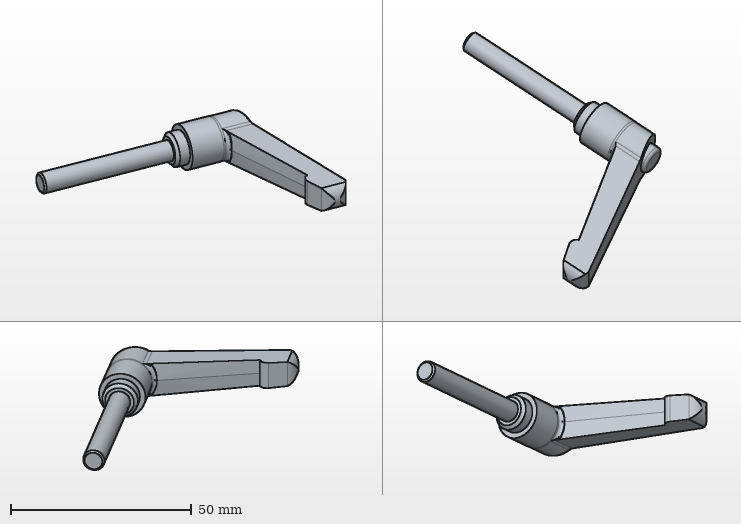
import cadquery as cq
import math

rod_radius = 3.0
rod_chamfer = 0.5
collar_radius = 5.0
collar_start = 40.0
collar_chamfer = 0.95
hub_radius = 6.6
hub_start = 44.05
seam_start = 53.75
seam_end = 54.4
seam_step = 0.1
hub_low_side = 60.4
button_radius = 4.1
button_top = 64.7
button_edge = 0.95
arm_reach = 45.0
arm_top = 74.0
arm_top_x = 41.45
tip_line_x = 42.55
tip_rise = 0.6
tip_low = 66.1
arm_half_root = 5.145
arm_half_end = 3.7
nub_start = (34.9, 65.5)
nub_mid = (36.0, 64.3)
nub_end = (37.6, 64.2)
under_root = 55.8
ridge_root = 0.6
ridge_end = 0.04
flare_reach = 1.2
side_blend = 1.85
overlap = 0.75

top_slope = (arm_top - hub_low_side) / (arm_top_x + hub_radius)
under_slope = (nub_start[1] - under_root) / (nub_start[0] - hub_radius)
block_top = arm_top + overlap
upper_radius = hub_radius - seam_step


def cylinder(radius, start, end):
    """Solid cylinder on the Y axis between two heights."""
    return cq.Workplane("XZ", origin=(0, start, 0)).circle(radius).extrude(start - end)


def make_hub():
    """Hub with a small conical step at its seam and a sloping top."""
    full = (
        cq.Workplane("XY")
        .moveTo(0, hub_start)
        .lineTo(hub_radius, hub_start)
        .lineTo(hub_radius, seam_start)
        .lineTo(upper_radius, seam_end)
        .lineTo(upper_radius, arm_top)
        .lineTo(0, arm_top)
        .close()
        .revolve(360, (0, 0, 0), (0, 1, 0))
    )
    below_slope = (
        cq.Workplane("XY")
        .moveTo(-hub_radius, hub_start)
        .lineTo(hub_radius, hub_start)
        .lineTo(hub_radius, hub_low_side + 2 * hub_radius * top_slope)
        .lineTo(-hub_radius, hub_low_side)
        .close()
        .extrude(hub_radius, both=True)
    )
    return full.intersect(below_slope)


def half_width(x):
    """Half thickness of the arm in Z at a given X."""
    return arm_half_root + (arm_half_end - arm_half_root) * x / tip_line_x


def make_plan():
    """Tall block with the outline of hub and arm in the XZ plane, blended at the sides."""
    arm_block = (
        cq.Workplane("XZ", origin=(0, hub_start, 0))
        .moveTo(0, -arm_half_root)
        .lineTo(tip_line_x, -arm_half_end)
        .threePointArc((arm_reach, 0), (tip_line_x, arm_half_end))
        .lineTo(0, arm_half_root)
        .close()
        .extrude(hub_start - block_top)
    )
    block = cylinder(upper_radius, hub_start, block_top).union(arm_block)
    corner_x = math.sqrt(upper_radius**2 - half_width(upper_radius) ** 2)
    corners = cq.selectors.BoxSelector(
        (corner_x - overlap, hub_start, -hub_radius),
        (corner_x + overlap, block_top, hub_radius),
    )
    return block.edges("|Y").edges(corners).fillet(side_blend)


def make_arm():
    """Sloping arm: its side profile cut to the tapered, round-ended plan."""
    tip_mid_y = (arm_top + tip_low) / 2 + tip_rise
    profile = (
        cq.Workplane("XY")
        .moveTo(0, hub_low_side + hub_radius * top_slope)
        .lineTo(arm_top_x, arm_top)
        .threePointArc((arm_reach, tip_mid_y), (tip_line_x, tip_low))
        .lineTo(*nub_end)
        .threePointArc(nub_mid, nub_start)
        .lineTo(hub_radius, under_root)
        .lineTo(0, under_root - hub_radius * under_slope)
        .close()
        .extrude(hub_radius, both=True)
    )
    return profile.intersect(make_plan())


def ridge_section(x, y, drop):
    """Closed section across the underside, pointed downwards in the middle."""
    half = half_width(x)
    points = [
        (x, y + overlap, -half),
        (x, y, -half),
        (x, y - drop, 0),
        (x, y, half),
        (x, y + overlap, half),
    ]
    return cq.Wire.makePolygon([cq.Vector(*p) for p in points], close=True)


def make_ridge():
    """Shallow ridge along the underside, fading out at the finger stop."""
    root = ridge_section(hub_radius - overlap, under_root - overlap * under_slope, ridge_root)
    end = ridge_section(*nub_start, ridge_end)
    return cq.Workplane(cq.Solid.makeLoft([root, end], True))


def make_flare():
    """Concave blend around the hub under the arm root, no wider than the arm."""
    bend = flare_reach * (1 - math.sqrt(0.5))
    rise = flare_reach * math.sqrt(0.5)
    ring = (
        cq.Workplane("XY")
        .moveTo(upper_radius - overlap, seam_end)
        .lineTo(upper_radius, seam_end)
        .threePointArc(
            (upper_radius + bend, seam_end + rise),
            (upper_radius + flare_reach, seam_end + flare_reach),
        )
        .lineTo(upper_radius + flare_reach, under_root + overlap)
        .lineTo(upper_radius - overlap, under_root + overlap)
        .close()
        .revolve(360, (0, 0, 0), (0, 1, 0))
    )
    return ring.intersect(make_plan())


rod = cylinder(rod_radius, 0, collar_start).faces("<Y").chamfer(rod_chamfer)
collar = cylinder(collar_radius, collar_start, hub_start).faces("<Y").chamfer(collar_chamfer)
button = cylinder(button_radius, hub_start, button_top).faces(">Y").edges().fillet(button_edge)

handle = make_hub().union(make_arm()).union(make_ridge()).union(make_flare())
result = handle.union(rod).union(collar).union(button)